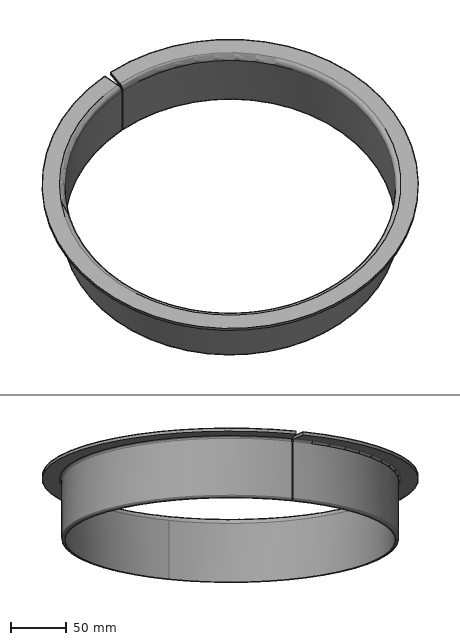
import cadquery as cq

flange_radius = 170.0
height = 60.0
wall = 3.0
sleeve_radius = 152.3
inside_bend = 2.0
bottom_round = 1.7
slit_width = 1.0
notch_width = 6.8

bore_radius = sleeve_radius - wall
outside_bend = inside_bend + wall
bend_centre_radius = sleeve_radius + inside_bend
flange_underside = height - wall
bend_start = height - outside_bend


def flanged_sleeve():
    """Revolve the L-shaped sheet section about Z."""
    section = (
        cq.Workplane("XZ")
        .moveTo(bore_radius, 0)
        .lineTo(sleeve_radius - bottom_round, 0)
        .radiusArc((sleeve_radius, bottom_round), -bottom_round)
        .lineTo(sleeve_radius, bend_start)
        .radiusArc((bend_centre_radius, flange_underside), inside_bend)
        .lineTo(flange_radius, flange_underside)
        .lineTo(flange_radius, height)
        .lineTo(bend_centre_radius, height)
        .radiusArc((bore_radius, bend_start), -outside_bend)
        .close()
    )
    return section.revolve(360, (0, 0, 0), (0, 1, 0))


def split_cutter():
    """Narrow slit through the sleeve that widens across the flange on the -X side."""
    half_slit = slit_width / 2
    half_notch = notch_width / 2
    inner_end = bore_radius - wall
    slit = (
        cq.Workplane("XY")
        .moveTo(-inner_end, -half_slit)
        .lineTo(-flange_radius, -half_slit)
        .lineTo(-flange_radius, half_slit)
        .lineTo(-inner_end, half_slit)
        .close()
        .extrude(height)
    )
    notch = (
        cq.Workplane("XY", origin=(0, 0, bend_start))
        .moveTo(-bore_radius, -half_slit)
        .lineTo(-flange_radius, -half_notch)
        .lineTo(-flange_radius, half_notch)
        .lineTo(-bore_radius, half_slit)
        .close()
        .extrude(outside_bend)
    )
    return slit.union(notch)


result = flanged_sleeve().cut(split_cutter())